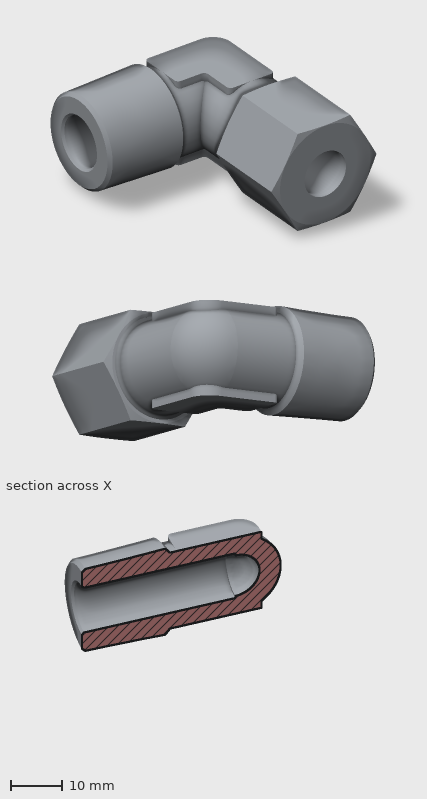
import cadquery as cq
import math

body_radius = 19.0 / 2
flow_bore_radius = 10.0 / 2

collar_radius = 10.8
male_end_y = -32.0
taper_start_y = -14.65
neck_end_y = taper_start_y + 1.0
taper_ratio = 1 / 32
male_chamfer = 0.75
male_bore_radius = 11.0 / 2
mouth_chamfer = 0.5

hex_flats = 22.0
hex_corner_diameter = hex_flats / math.cos(math.pi / 6)
hex_end_x = 48.75 - collar_radius
hex_length = 19.3
hex_start_x = hex_end_x - hex_length
hex_chamfer_angle = math.radians(15)
hex_face_radius = 10.9

neck_fillet = 0.75
recess_radius = 10.25
neck_angle = math.radians(45)
neck_start_x = hex_start_x - 0.7
neck_arc_length = neck_fillet * math.sin(neck_angle)
neck_arc_rise = neck_fillet * (1 - math.cos(neck_angle))
neck_cone_rise = recess_radius - body_radius - neck_arc_rise
neck_cone_end_x = neck_start_x + neck_arc_length + neck_cone_rise / math.tan(neck_angle)

pad_half_width = 5.45
pad_x_end = 13.55
pad_y_end = -12.25
pad_outer_radius = 4.2
pad_corner_radius = 0.98


def make_elbow():
    leg_x = cq.Workplane("YZ").circle(body_radius).extrude(hex_start_x)
    leg_y = cq.Workplane("XZ").circle(body_radius).extrude(-neck_end_y)
    return cq.Workplane("XY").sphere(body_radius).union(leg_x).union(leg_y)


def make_pads():
    w = pad_half_width
    corners = [(-w, w), (pad_x_end, w), (pad_x_end, -w), (w, -w), (w, pad_y_end), (-w, pad_y_end)]
    pads = cq.Workplane("XY").polyline(corners).close().extrude(body_radius, both=True)
    outer_edge = cq.selectors.NearestToPointSelector((-w, w, 0))
    pads = pads.edges("|Z").edges(outer_edge).fillet(pad_outer_radius)
    for x, y in corners[1:]:
        corner_edge = cq.selectors.NearestToPointSelector((x, y, 0))
        pads = pads.edges("|Z").edges(corner_edge).fillet(pad_corner_radius)
    return pads


def make_male_end():
    chamfer_y = male_end_y + male_chamfer
    tip_radius = collar_radius - (taper_start_y - chamfer_y) * taper_ratio
    profile = [
        (0, neck_end_y),
        (body_radius, neck_end_y),
        (collar_radius, taper_start_y),
        (tip_radius, chamfer_y),
        (tip_radius - male_chamfer, male_end_y),
        (0, male_end_y),
    ]
    return cq.Workplane("XY").polyline(profile).close().revolve(360, (0, 0, 0), (0, 1, 0))


def make_hex_end():
    prism = (
        cq.Workplane("YZ", origin=(hex_start_x, 0, 0))
        .polygon(6, hex_corner_diameter)
        .extrude(hex_length)
    )
    corner_radius = hex_corner_diameter / 2
    chamfer_length = (corner_radius - hex_face_radius) * math.tan(hex_chamfer_angle)
    envelope = [
        (hex_start_x, 0),
        (hex_start_x, hex_face_radius),
        (hex_start_x + chamfer_length, corner_radius),
        (hex_end_x - chamfer_length, corner_radius),
        (hex_end_x, hex_face_radius),
        (hex_end_x, 0),
    ]
    return prism.intersect(
        cq.Workplane("XY").polyline(envelope).close().revolve(360, (0, 0, 0), (1, 0, 0))
    )


def make_recess():
    depth = neck_cone_end_x - hex_start_x
    return cq.Workplane("YZ", origin=(hex_start_x, 0, 0)).circle(recess_radius).extrude(depth)


def make_neck_flare():
    return (
        cq.Workplane("XY")
        .moveTo(neck_start_x, 0)
        .lineTo(neck_start_x, body_radius)
        .radiusArc((neck_start_x + neck_arc_length, body_radius + neck_arc_rise), -neck_fillet)
        .lineTo(neck_cone_end_x, recess_radius)
        .lineTo(neck_cone_end_x, 0)
        .close()
        .revolve(360, (0, 0, 0), (1, 0, 0))
    )


def make_flow_passage():
    bore_x = cq.Workplane("YZ").circle(flow_bore_radius).extrude(hex_end_x)
    bore_y = cq.Workplane("XZ").circle(male_bore_radius).extrude(-male_end_y)
    mouth = (
        cq.Workplane("XZ", origin=(0, male_end_y, 0))
        .circle(male_bore_radius + mouth_chamfer)
        .workplane(offset=-mouth_chamfer)
        .circle(male_bore_radius)
        .loft()
    )
    return cq.Workplane("XY").sphere(flow_bore_radius).union(bore_x).union(bore_y).union(mouth)


result = (
    make_elbow()
    .union(make_pads())
    .union(make_male_end())
    .union(make_hex_end().cut(make_recess()))
    .union(make_neck_flare())
    .cut(make_flow_passage())
)